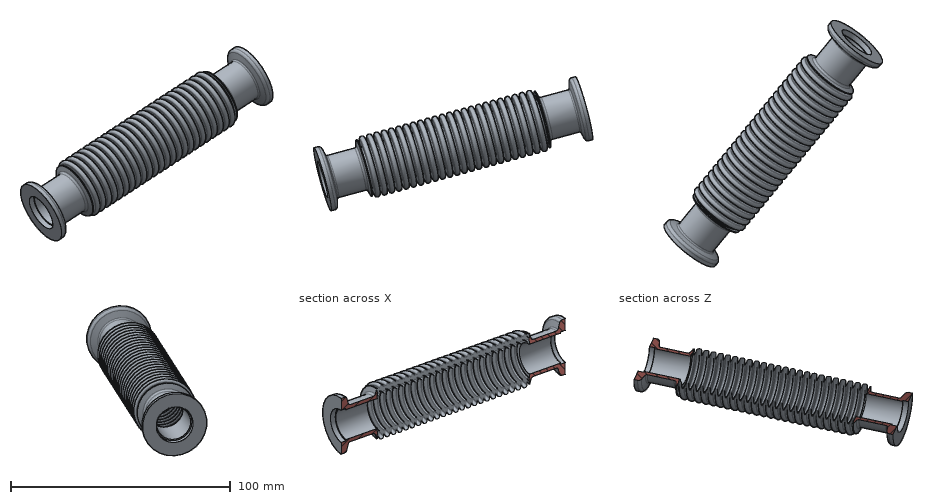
import cadquery as cq
import math


total_length = 123.8
half_length = total_length / 2

flange_radius = 15.0
flange_rim_length = 1.9
flange_round = 1.5
tube_radius = 10.0
bore_radius = 7.9
seat_radius = 8.5
seat_depth = 2.6
cone_angle = math.radians(15)
flange_fillet = 0.7
collar_radius = 13.4
collar_rim_length = 0.5
collar_fillet = 1.1

crest_count = 24
crest_span = 79.1
crest_radius = 14.5
root_radius = 9.5
gap_width = 1.0
wall = 0.15
end_ring_radius = 11.5

pitch = crest_span / (crest_count - 1)
crest_half_width = (pitch - gap_width) / 2
gap_half_width = gap_width / 2
root_center_radius = root_radius + gap_half_width
crest_center_radius = crest_radius - crest_half_width
first_crest = -crest_span / 2
bellows_half_length = crest_count * pitch / 2 + gap_half_width + wall
fitting_length = half_length - bellows_half_length


def revolve_about_y(profile):
    """Close a (Y, radius) profile that starts and ends on the axis and turn it about Y."""
    return profile.close().revolve(360, (0, 0), (1, 0))


def end_fitting():
    """Flange, tube and collar in one piece, with the sealing face at the -Y end."""
    sealing_face = -half_length
    collar_face = sealing_face + fitting_length

    turn = math.pi / 2 - cone_angle
    axial_run = math.sin(turn)
    radial_run = 1 - math.cos(turn)

    rim_end = sealing_face + flange_rim_length
    cone_top = rim_end + flange_round * axial_run
    cone_top_radius = flange_radius - flange_round * radial_run
    cone_foot_radius = tube_radius + flange_fillet * radial_run
    cone_foot = cone_top + (cone_top_radius - cone_foot_radius) * math.tan(cone_angle)

    collar_foot_radius = tube_radius + collar_fillet * radial_run
    collar_rim_start = collar_face - collar_rim_length
    collar_foot = collar_rim_start - (collar_radius - collar_foot_radius) * math.tan(cone_angle)

    profile = (
        cq.Workplane("YZ")
        .moveTo(sealing_face, 0)
        .lineTo(sealing_face, flange_radius)
        .lineTo(rim_end, flange_radius)
        .tangentArcPoint((cone_top, cone_top_radius), relative=False)
        .lineTo(cone_foot, cone_foot_radius)
        .tangentArcPoint((cone_foot + flange_fillet * axial_run, tube_radius), relative=False)
        .lineTo(collar_foot - collar_fillet * axial_run, tube_radius)
        .tangentArcPoint((collar_foot, collar_foot_radius), relative=False)
        .lineTo(collar_rim_start, collar_radius)
        .lineTo(collar_face, collar_radius)
        .lineTo(collar_face, 0)
    )
    body = revolve_about_y(profile)

    face_plane = cq.Workplane("XZ", origin=(0, sealing_face, 0))
    bore = face_plane.circle(bore_radius).extrude(-fitting_length)
    seat = face_plane.circle(seat_radius).extrude(-seat_depth)
    return body.cut(bore).cut(seat).solids()


def add_root(profile, center, inset):
    """Half-round root from one side of a gap to the other."""
    half_width = gap_half_width + inset
    return profile.lineTo(center - half_width, root_center_radius).threePointArc(
        (center, root_center_radius - half_width), (center + half_width, root_center_radius)
    )


def add_crest(profile, center, inset):
    """Half-round crest, with the straight side that leads up to it."""
    half_width = crest_half_width - inset
    return profile.lineTo(center - half_width, crest_center_radius).threePointArc(
        (center, crest_center_radius + half_width), (center + half_width, crest_center_radius)
    )


def add_convolutions(profile, inset):
    """All roots and crests in turn, drawn in by inset; there is a root at each end."""
    for index in range(crest_count):
        crest = first_crest + index * pitch
        profile = add_root(profile, crest - pitch / 2, inset)
        profile = add_crest(profile, crest, inset)
    return add_root(profile, -first_crest + pitch / 2, inset)


def bellows_tube():
    """Thin-walled bellows with a flat ring at each end that lies against the collar."""
    end = bellows_half_length
    ring_side = end - wall
    outside = (
        cq.Workplane("YZ")
        .moveTo(-end, 0)
        .lineTo(-end, end_ring_radius)
        .lineTo(-ring_side, end_ring_radius)
    )
    outside = add_convolutions(outside, 0)
    outside = outside.lineTo(ring_side, end_ring_radius).lineTo(end, end_ring_radius).lineTo(end, 0)

    cavity = cq.Workplane("YZ").moveTo(-end, 0)
    cavity = add_convolutions(cavity, wall).lineTo(end, 0)
    return revolve_about_y(outside).cut(revolve_about_y(cavity)).solids()


bellows = bellows_tube()
end_fittings = [end_fitting().rotate((0, 0, 0), (0, 0, 1), angle) for angle in (0, 180)]

result = cq.Compound.makeCompound([bellows.val(), *[fitting.val() for fitting in end_fittings]])